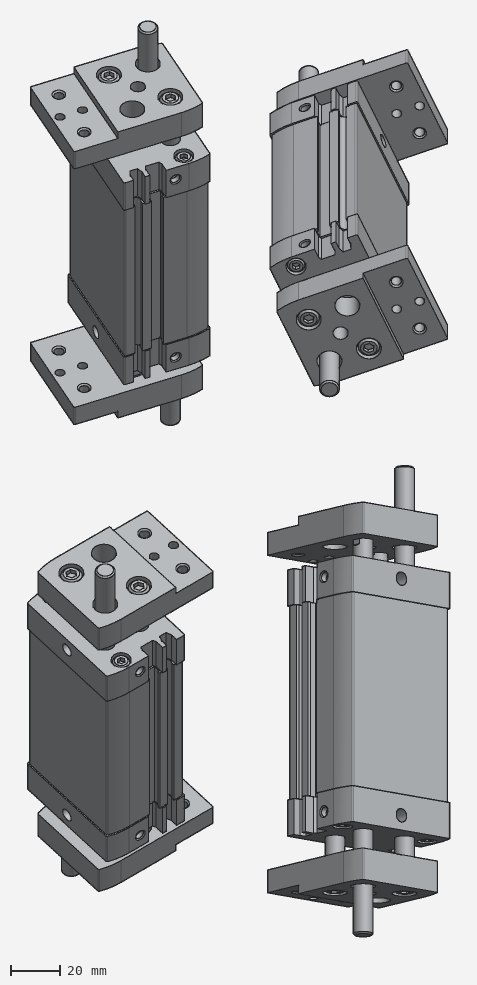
import cadquery as cq
import math

TOTAL_LENGTH = 196.4

HOUSING_WIDTH = 55.0
HOUSING_DEPTH = 39.0
HOUSING_LENGTH = 110.0
CAP_LENGTH = 15.0
BARREL_INSET = 0.5
SHOULDER_RUN = 10.2
SHOULDER_RADIUS = 31.5
CORNER_RADIUS = 0.5

NUT_SLOT_Y = 15.1
NUT_SLOT_MOUTH = 5.3
NUT_SLOT_INNER = 6.5
NUT_SLOT_LIP = 2.0
NUT_SLOT_DEPTH = 5.0
GROOVE_Y = 6.9
GROOVE_MOUTH = 3.3
GROOVE_DIAMETER = 4.1
GROOVE_DEPTH = 5.3
CAP_NUT_SLOT_MOUTH = 7.3
CAP_NUT_SLOT_FLOOR = 5.9
CAP_NUT_SLOT_STRAIGHT = 4.3
CAP_GROOVE_MOUTH = 5.1
CAP_GROOVE_FLOOR = 3.3
CAP_GROOVE_STRAIGHT = 3.3
CAP_SLOT_DEPTH = 5.7

FRONT_PORT_FROM_END = 6.0
SIDE_PORT_FROM_END = 6.5
FRONT_PORT_DIAMETER = 5.5
SIDE_PORT_Y = 23.0
SIDE_PORT_DIAMETER = 4.0
SIDE_PORT_MOUTH = 5.0
SIDE_PORT_DEPTH = 3.0
DRILL_POINT_ANGLE = 118.0

CAP_SCREW_X = 22.4
CAP_SCREW_Y = 28.9
CAP_SCREW_BORE = 8.0
CAP_SCREW_HEAD = 7.0
CAP_SCREW_FACE = 5.5
CAP_SCREW_SOCKET = 3.0
CAP_SCREW_BORE_DEPTH = 3.1

PLATE_GAP = 10.0
PLATE_THICKNESS = 13.0
PLATE_WIDTH = 43.0
TONGUE_LENGTH = 19.5
TONGUE_STEP = 3.5
ROD_DIAMETER = 8.0
ROD_CLEARANCE_DIAMETER = 10.0
ROD_CHAMFER = 0.69
LONG_ROD_X = 11.0
LONG_ROD_Y = 28.0
SHORT_ROD_X = 11.4
SHORT_ROD_Y = 11.0
SHORT_ROD_ENGAGEMENT = CAP_LENGTH
FLAT_ACROSS = 7.0
LONG_ROD_FLAT = 2.2
SHORT_ROD_FLAT = 0.8

CENTRE_HOLE_DIAMETER = 6.0
CENTRE_HOLE_Y = 18.7
DOWEL_DIAMETER = 4.0
DOWEL_YS = (-5.9, -16.0)
TAPPED_DIAMETER = 4.1
TAPPED_MOUTH = 5.5
TAPPED_X = 12.4
TAPPED_Y = -10.8
PLATE_SCREW_BORE = 10.0
PLATE_SCREW_HEAD = 8.6
PLATE_SCREW_FACE = 6.7
PLATE_SCREW_SOCKET = 4.0
PLATE_SCREW_BORE_DEPTH = 5.5

SCREW_RECESS = 0.4
SOCKET_DEPTH = 2.0

HALF_WIDTH = HOUSING_WIDTH / 2
HOUSING_TOP = HOUSING_LENGTH / 2
PLATE_BOTTOM = HOUSING_TOP + PLATE_GAP
PLATE_TOP = PLATE_BOTTOM + PLATE_THICKNESS
PLATE_REAR = HOUSING_DEPTH - BARREL_INSET
BARREL_HALF_LENGTH = HOUSING_TOP - CAP_LENGTH


def shouldered_block(width, front, rear, bottom, height):
    """Block along Z whose two rear corners are wide arcs tangent to the sides."""
    half = width / 2
    shoulder = rear - SHOULDER_RUN
    setback = SHOULDER_RADIUS - math.sqrt(SHOULDER_RADIUS**2 - SHOULDER_RUN**2)
    return (
        cq.Workplane("XY", origin=(0, 0, bottom))
        .moveTo(-half, front)
        .lineTo(half, front)
        .lineTo(half, shoulder)
        .radiusArc((half - setback, rear), -SHOULDER_RADIUS)
        .lineTo(-half + setback, rear)
        .radiusArc((-half, shoulder), -SHOULDER_RADIUS)
        .close()
        .extrude(height)
        .faces("<Y or >Y")
        .edges("|Z")
        .fillet(CORNER_RADIUS)
    )


def cylinder(diameter, x, y, bottom, top):
    return cq.Workplane("XY", origin=(x, y, bottom)).circle(diameter / 2).extrude(top - bottom)


def turned_over(body):
    """Half turn about the Y axis, which swaps the two ends and the two sides."""
    return body.rotate((0, 0, 0), (0, 1, 0), 180)


def add_socket_screw(body, x, y, face, bore, bore_depth, head, head_face, socket):
    """Counterbore below a +Z face, holding a hexagon-socket screw head."""
    floor = face - bore_depth
    head_top = face - SCREW_RECESS
    screw = cylinder(head, x, y, floor, head_top).faces(">Z").chamfer((head - head_face) / 2)
    hexagon = (
        cq.Workplane("XY", origin=(x, y, head_top - SOCKET_DEPTH))
        .polygon(6, socket, circumscribed=True)
        .extrude(SOCKET_DEPTH)
    )
    return body.cut(cylinder(bore, x, y, floor, face)).union(screw.cut(hexagon))


def side_slot(side, y, width, depth, start, bottom, top):
    """Rectangular slot along Z, from start to depth below the side face."""
    centre = side * (HALF_WIDTH - (start + depth) / 2)
    return cq.Workplane("XY", origin=(centre, y, bottom)).rect(depth - start, width).extrude(top - bottom)


def barrel_slots(side):
    """Nut slot and sensor groove over the whole housing length."""
    ends = (-HOUSING_TOP, HOUSING_TOP)
    groove_centre = GROOVE_DEPTH - GROOVE_DIAMETER / 2
    mouth = side_slot(side, NUT_SLOT_Y, NUT_SLOT_MOUTH, NUT_SLOT_DEPTH, 0, *ends)
    inner = side_slot(side, NUT_SLOT_Y, NUT_SLOT_INNER, NUT_SLOT_DEPTH, NUT_SLOT_LIP, *ends)
    groove_mouth = side_slot(side, GROOVE_Y, GROOVE_MOUTH, groove_centre, 0, *ends)
    groove = cylinder(GROOVE_DIAMETER, side * (HALF_WIDTH - groove_centre), GROOVE_Y, *ends)
    return mouth.union(inner).union(groove_mouth).union(groove)


def cap_slot(side, y, mouth, floor, straight_depth, depth):
    """Slot through the upper cap: straight walls, then walls that taper to a narrower floor."""
    right_hand = (
        cq.Workplane("XY", origin=(HALF_WIDTH, y, BARREL_HALF_LENGTH))
        .polyline(
            [
                (0, -mouth / 2),
                (0, mouth / 2),
                (-straight_depth, mouth / 2),
                (-depth, floor / 2),
                (-depth, -floor / 2),
                (-straight_depth, -mouth / 2),
            ]
        )
        .close()
        .extrude(CAP_LENGTH)
    )
    return right_hand if side > 0 else right_hand.mirror("YZ")


def cap_slots(side):
    """Slots of the upper cap, in line with the barrel slots."""
    nut_slot = cap_slot(
        side, NUT_SLOT_Y, CAP_NUT_SLOT_MOUTH, CAP_NUT_SLOT_FLOOR, CAP_NUT_SLOT_STRAIGHT, CAP_SLOT_DEPTH
    )
    groove = cap_slot(
        side, GROOVE_Y, CAP_GROOVE_MOUTH, CAP_GROOVE_FLOOR, CAP_GROOVE_STRAIGHT, CAP_SLOT_DEPTH
    )
    return nut_slot.union(groove)


def side_port():
    """Drilled port in the -X side of the upper cap, with a countersunk mouth and a drill point."""
    radius = SIDE_PORT_DIAMETER / 2
    mouth_radius = SIDE_PORT_MOUTH / 2
    countersink = mouth_radius - radius
    point = radius / math.tan(math.radians(DRILL_POINT_ANGLE / 2))
    return (
        cq.Workplane("XY")
        .polyline(
            [
                (0, 0),
                (0, mouth_radius),
                (countersink, radius),
                (SIDE_PORT_DEPTH, radius),
                (SIDE_PORT_DEPTH + point, 0),
            ]
        )
        .close()
        .revolve(360, (0, 0, 0), (1, 0, 0))
        .translate((-HALF_WIDTH, SIDE_PORT_Y, HOUSING_TOP - SIDE_PORT_FROM_END))
    )


def front_port():
    """Port through the upper cap from front to rear."""
    return (
        cq.Workplane("XZ", origin=(0, 0, HOUSING_TOP - FRONT_PORT_FROM_END))
        .circle(FRONT_PORT_DIAMETER / 2)
        .extrude(-HOUSING_DEPTH)
    )


def upper_cap():
    cap = shouldered_block(HOUSING_WIDTH, 0, HOUSING_DEPTH, BARREL_HALF_LENGTH, CAP_LENGTH)
    port = side_port()
    cap = cap.cut(front_port()).cut(port).cut(port.mirror("YZ"))
    for side in (-1, 1):
        cap = cap.cut(cap_slots(side))
        cap = add_socket_screw(
            cap, side * CAP_SCREW_X, CAP_SCREW_Y, HOUSING_TOP,
            CAP_SCREW_BORE, CAP_SCREW_BORE_DEPTH, CAP_SCREW_HEAD, CAP_SCREW_FACE, CAP_SCREW_SOCKET,
        )
    return cap


def make_housing():
    barrel = shouldered_block(
        HOUSING_WIDTH - 2 * BARREL_INSET, BARREL_INSET, HOUSING_DEPTH - BARREL_INSET,
        -BARREL_HALF_LENGTH, 2 * BARREL_HALF_LENGTH,
    )
    cap = upper_cap()
    housing = barrel.union(cap).union(turned_over(cap))
    for side in (-1, 1):
        housing = housing.cut(barrel_slots(side))
    return housing.cut(rod_bores()).cut(turned_over(rod_bores()))


def rod_bores():
    """Bores for the rods of the upper slider."""
    long_bore = cylinder(ROD_DIAMETER, LONG_ROD_X, LONG_ROD_Y, -HOUSING_TOP, HOUSING_TOP)
    short_end = HOUSING_TOP - SHORT_ROD_ENGAGEMENT
    return long_bore.union(cylinder(ROD_DIAMETER, -SHORT_ROD_X, SHORT_ROD_Y, short_end, HOUSING_TOP))


def rod_with_flats(x, y, bottom, flat_length):
    """Rod hanging from the plate, with two wrench flats just below it that run out at 45 degrees."""
    rod = cylinder(ROD_DIAMETER, x, y, bottom, PLATE_BOTTOM)
    rod = rod.faces("<Z").chamfer(ROD_CHAMFER)
    half_flat = FLAT_ACROSS / 2
    radius = ROD_DIAMETER / 2
    flat_end = PLATE_BOTTOM - flat_length
    sliver = (
        cq.Workplane("XZ")
        .polyline(
            [
                (half_flat, PLATE_BOTTOM),
                (half_flat, flat_end),
                (radius, flat_end - (radius - half_flat)),
                (radius, PLATE_BOTTOM),
            ]
        )
        .close()
        .extrude(radius, both=True)
    )
    for flat in (sliver, sliver.mirror("YZ")):
        rod = rod.cut(flat.translate((x, y, 0)))
    return rod


def slider_plate():
    plate = shouldered_block(PLATE_WIDTH, -TONGUE_LENGTH, PLATE_REAR, PLATE_BOTTOM, PLATE_THICKNESS)
    step = (
        cq.Workplane("XY", origin=(0, -TONGUE_LENGTH / 2, PLATE_TOP - TONGUE_STEP))
        .rect(PLATE_WIDTH, TONGUE_LENGTH)
        .extrude(TONGUE_STEP)
    )
    return plate.cut(step)


def cut_plate_holes(plate):
    tongue_top = PLATE_TOP - TONGUE_STEP
    through = [
        (CENTRE_HOLE_DIAMETER, 0, CENTRE_HOLE_Y),
        (ROD_CLEARANCE_DIAMETER, -LONG_ROD_X, LONG_ROD_Y),
        (ROD_CLEARANCE_DIAMETER, SHORT_ROD_X, SHORT_ROD_Y),
    ]
    through += [(DOWEL_DIAMETER, 0, y) for y in DOWEL_YS]
    for diameter, x, y in through:
        plate = plate.cut(cylinder(diameter, x, y, PLATE_BOTTOM, PLATE_TOP))
    for side in (-1, 1):
        plate = plate.cut(tapped_hole(side * TAPPED_X, TAPPED_Y, PLATE_BOTTOM, tongue_top))
    return plate


def tapped_hole(x, y, bottom, top):
    """Through hole with a countersunk mouth at both ends."""
    radius = TAPPED_DIAMETER / 2
    mouth = TAPPED_MOUTH / 2
    countersink = mouth - radius
    profile = [
        (0, bottom),
        (mouth, bottom),
        (radius, bottom + countersink),
        (radius, top - countersink),
        (mouth, top),
        (0, top),
    ]
    return (
        cq.Workplane("XZ")
        .polyline(profile)
        .close()
        .revolve(360, (0, 0, 0), (0, 1, 0))
        .translate((x, y, 0))
    )


def make_slider():
    slider = cut_plate_holes(slider_plate())
    for x, y in [(LONG_ROD_X, LONG_ROD_Y), (-SHORT_ROD_X, SHORT_ROD_Y)]:
        slider = add_socket_screw(
            slider, x, y, PLATE_TOP,
            PLATE_SCREW_BORE, PLATE_SCREW_BORE_DEPTH,
            PLATE_SCREW_HEAD, PLATE_SCREW_FACE, PLATE_SCREW_SOCKET,
        )
    long_rod = rod_with_flats(LONG_ROD_X, LONG_ROD_Y, -TOTAL_LENGTH / 2, LONG_ROD_FLAT)
    short_rod = rod_with_flats(
        -SHORT_ROD_X, SHORT_ROD_Y, HOUSING_TOP - SHORT_ROD_ENGAGEMENT, SHORT_ROD_FLAT
    )
    return slider.union(long_rod).union(short_rod)


housing = make_housing()
upper_slider = make_slider()
lower_slider = turned_over(upper_slider)

bodies = (housing, upper_slider, lower_slider)
result = cq.Compound.makeCompound([body.solids().val() for body in bodies])